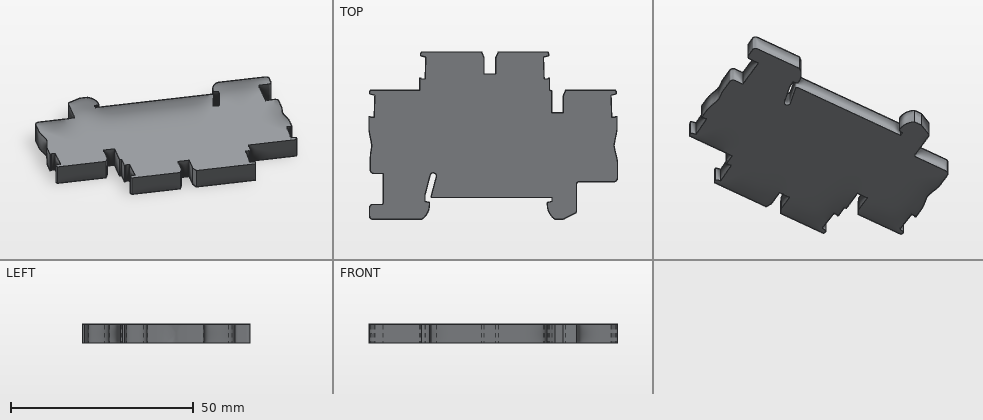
import cadquery as cq


length = 68.15
height = 45.85
thickness = 5.2

lower_top = 35.4
lower_left = 0.0
lower_right = 68.0
upper_left = 13.95
upper_right = 49.5

lip_setback = 0.2
lip_bevel = 0.25
lip_high_drop = 0.55
lip_low_drop = 1.0
lip_depth = 1.15
notch_root_top = 1.65
notch_root_bottom = 1.45
notch_top_depth = 1.45
notch_depth = 7.4
shelf_bevel = 0.5
shelf_rise = 0.2

groove_depth = 6.0
lead_in_width = 0.7
lead_in_depth = 1.6
upper_groove_left = 31.6
upper_groove_right = 34.75
lower_groove_left = 50.1
lower_groove_right = 53.2
lower_groove_bottom = 29.2
groove_ledge_drop = 0.2

grip_top = 25.4
left_grip = (0.82, 20.1)
left_grip_bottom = 17.0
left_wall = 0.4
right_grip = (67.15, 20.3)
right_grip_bottom = 14.8

left_wall_bottom = 12.55
right_wall_bottom = 10.25

rail_seat = 5.95
hook_top = 4.95
left_hook_wall = 15.4
right_hook_wall = 50.1
hook_reach = 1.25
nose_drop = 0.3
flank_top = 4.0
flank_middle = (0.65, 1.7)
flank_bottom_setback = 0.9

left_foot_edge = 0.2
left_foot_neck = 3.9
left_foot_top = 4.1

right_foot_edge = 56.9
right_foot_bevel_start = 53.2
right_foot_bevel_height = 1.9

slot_start_height = 6.6
slot_left_end = (16.8, 12.0)
slot_tip = (17.66, 12.7)
slot_right_end = (18.5, 11.75)
slot_mouth_right = 16.95

wall_radius = 1.0
right_wall_radius = 1.2
foot_radius = 0.9
neck_radius = 0.35
inner_corner_radius = 0.6
bevel_radius = 0.7
nose_radius = 0.25
mouth_radius = 0.3


def latch_notch(end_x, top_y, inward):
    """Points from the tier top down to the shelf edge; inward is +1 at a left end, -1 at a right end."""
    offsets = [
        (lip_setback + lip_bevel, 0),
        (lip_setback, lip_high_drop),
        (lip_setback, lip_low_drop),
        (lip_setback + lip_bevel, lip_depth),
        (notch_root_top, notch_top_depth),
        (notch_root_bottom, notch_depth),
        (shelf_bevel, notch_depth),
        (shelf_bevel - shelf_rise, notch_depth - shelf_rise),
        (0, notch_depth - shelf_rise),
    ]
    return [(end_x + inward * dx, top_y - dy) for dx, dy in offsets]


def line_through(path, points):
    for point in points:
        path = path.lineTo(*point)
    return path


def draw_top(path):
    """Both tiers and their grooves, from the lower left shelf to the lower right shelf."""
    path = line_through(path, latch_notch(lower_left, lower_top, 1)[::-1])
    path = path.lineTo(upper_left, lower_top)
    path = line_through(path, latch_notch(upper_left, height, 1)[::-1])
    path = line_through(path, [
        (upper_groove_left - lead_in_width, height),
        (upper_groove_left, height - lead_in_depth),
        (upper_groove_left, height - groove_depth),
        (upper_groove_right, height - groove_depth),
        (upper_groove_right, height - lead_in_depth),
        (upper_groove_right + lead_in_width, height),
    ])
    path = line_through(path, latch_notch(upper_right, height, -1))
    path = line_through(path, [
        (upper_right, lower_top),
        (lower_groove_left, lower_top - groove_ledge_drop),
        (lower_groove_left, lower_groove_bottom),
        (lower_groove_right, lower_groove_bottom),
        (lower_groove_right, lower_top - lead_in_depth),
        (lower_groove_right + lead_in_width, lower_top),
    ])
    return line_through(path, latch_notch(lower_right, lower_top, -1))


def draw_right_end(path):
    """Right grip and wall, then the right foot down to its flat underside."""
    path = path.lineTo(lower_right, grip_top)
    path = path.spline(
        [right_grip, (length, right_grip_bottom)],
        tangents=[(0, -1), (0, -1)],
        includeCurrent=True,
    )
    return line_through(path, [
        (length, right_wall_bottom),
        (right_foot_edge, right_wall_bottom),
        (right_foot_edge, right_foot_bevel_height),
        (right_foot_bevel_start, 0),
        (right_hook_wall + flank_bottom_setback, 0),
    ])


def draw_rail_side(path):
    """Right hook, rail seat, spring slot and left hook."""
    middle_in, middle_y = flank_middle
    nose_y = hook_top - nose_drop
    path = path.threePointArc(
        (right_hook_wall - middle_in, middle_y),
        (right_hook_wall - hook_reach, flank_top),
    )
    path = line_through(path, [
        (right_hook_wall - hook_reach, nose_y),
        (right_hook_wall, hook_top),
        (right_hook_wall, rail_seat),
        (slot_mouth_right, rail_seat),
        slot_right_end,
    ])
    path = path.threePointArc(slot_tip, slot_left_end)
    path = line_through(path, [
        (left_hook_wall, slot_start_height),
        (left_hook_wall, hook_top),
        (left_hook_wall + hook_reach, nose_y),
        (left_hook_wall + hook_reach, flank_top),
    ])
    return path.threePointArc(
        (left_hook_wall + middle_in, middle_y),
        (left_hook_wall - flank_bottom_setback, 0),
    )


def draw_left_end(path):
    """Left foot, then the left wall and grip up to the lower left shelf."""
    path = line_through(path, [
        (left_foot_edge, 0),
        (left_foot_edge, left_foot_top),
        (left_foot_neck, left_foot_top),
        (left_foot_neck, left_wall_bottom),
        (left_wall, left_wall_bottom),
        (left_wall, left_grip_bottom),
    ])
    return path.spline(
        [left_grip, (lower_left, grip_top)],
        tangents=[(0, 1), (0, 1)],
        includeCurrent=True,
    )


def round_corners(body):
    corners = [
        (left_wall, left_wall_bottom, wall_radius),
        (length, right_wall_bottom, right_wall_radius),
        (left_foot_edge, 0, foot_radius),
        (left_foot_edge, left_foot_top, foot_radius),
        (left_foot_neck, left_foot_top, neck_radius),
        (right_foot_edge, right_wall_bottom, inner_corner_radius),
        (right_foot_edge, right_foot_bevel_height, bevel_radius),
        (left_hook_wall + hook_reach, hook_top - nose_drop, nose_radius),
        (right_hook_wall - hook_reach, hook_top - nose_drop, nose_radius),
        (slot_mouth_right, rail_seat, mouth_radius),
    ]
    for x, y, radius in corners:
        corner_edge = cq.NearestToPointSelector((x, y, thickness / 2))
        body = body.edges("|Z").edges(corner_edge).fillet(radius)
    return body


outline = cq.Workplane("XY").moveTo(lower_left, grip_top)
for draw_section in (draw_top, draw_right_end, draw_rail_side, draw_left_end):
    outline = draw_section(outline)

result = round_corners(outline.close().extrude(thickness))